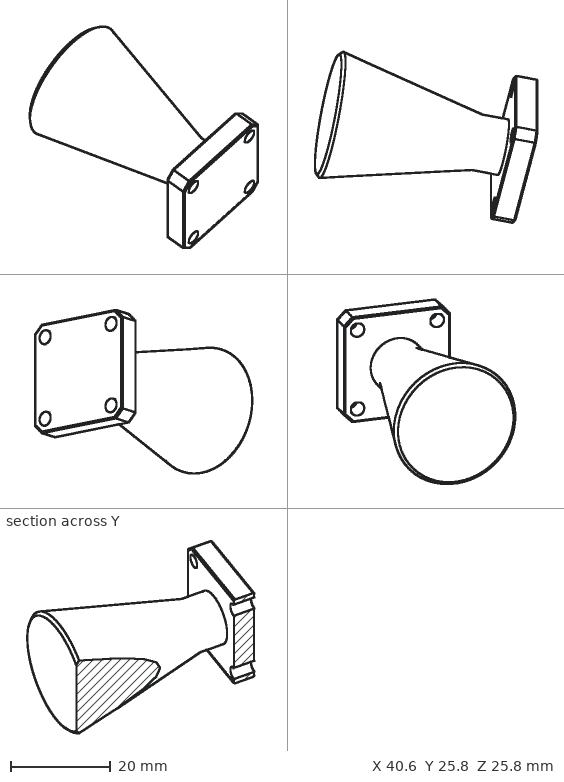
import cadquery as cq

length = 40.65
horn_diameter = 25.8

rim_chamfer_length = 0.7
rim_chamfer_depth = 0.65
cone_end = 30.65
neck_diameter = 11.38

flange_thickness = 4.7
flange_width = 22.5
corner_chamfer = 1.8
edge_chamfer = 0.3
hole_diameter = 2.85
hole_spacing = 16.9

flange_start = length - flange_thickness


def make_horn():
    """Solid cone with a chamfered rim, tapering to a straight neck."""
    horn_radius = horn_diameter / 2
    neck_radius = neck_diameter / 2
    profile = (
        cq.Workplane("XY")
        .lineTo(0, horn_radius - rim_chamfer_depth)
        .lineTo(rim_chamfer_length, horn_radius)
        .lineTo(cone_end, neck_radius)
        .lineTo(length, neck_radius)
        .lineTo(length, 0)
        .close()
    )
    return profile.revolve(360, (0, 0, 0), (1, 0, 0))


def make_flange():
    """Square plate with cut corners, eased face edges and four through holes."""
    plate = (
        cq.Workplane("YZ", origin=(flange_start, 0, 0))
        .rect(flange_width, flange_width)
        .extrude(flange_thickness)
        .edges("|X")
        .chamfer(corner_chamfer)
        .faces("<X or >X")
        .edges()
        .chamfer(edge_chamfer)
    )
    holes = (
        cq.Workplane("YZ", origin=(flange_start, 0, 0))
        .rect(hole_spacing, hole_spacing, forConstruction=True)
        .vertices()
        .circle(hole_diameter / 2)
        .extrude(flange_thickness)
    )
    return plate.cut(holes)


result = make_horn().union(make_flange())